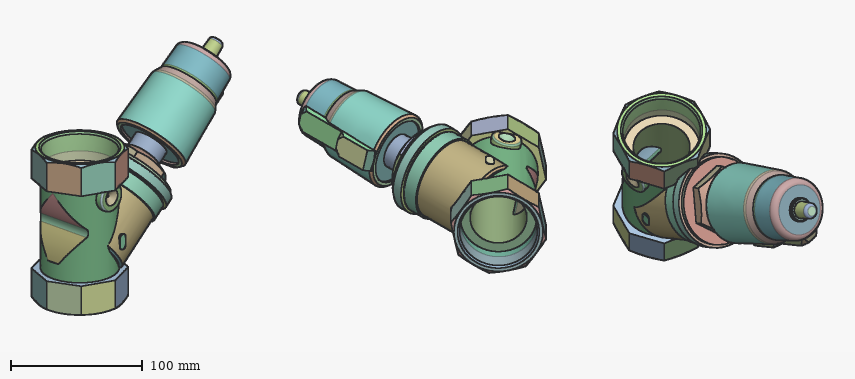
import cadquery as cq
import math


BODY_LENGTH = 124.0
PIPE_RADIUS = 30.0
BORE_RADIUS = 43.0 / 2
END_HEIGHT = 25.0
OCTAGON_CORNERS = 73.6
OCTAGON_CHAMFER_RADIUS = 33.8
OCTAGON_CHAMFER_ANGLE = 30.0

SOCKET_MOUTH_RADIUS = 31.0
SOCKET_THREAD_RADIUS = 59.0 / 2
SOCKET_RADIUS = 57.87 / 2
SOCKET_LEAD_IN = 1.5
SOCKET_THREAD_DEPTH = 15.0
SOCKET_DEPTH = 23.0

NOTCH_TOP = (-PIPE_RADIUS, 33.6)
NOTCH_UPPER_MID = (-27.4, 20.1)
NOTCH_UPPER_END = (-17.9, 6.6)
NOTCH_DEEPEST = (-16.9, 3.3)
NOTCH_LOWER_END = (-17.9, 0.0)
NOTCH_LOWER_MID = (-26.1, -11.9)
NOTCH_BOTTOM = (-29.5, -23.7)
NOTCH_WALL = 2.4

BOSS_Z = 30.1
BOSS_RADIUS = 11.6
BOSS_REACH = 33.2
BOSS_ROUNDING = 1.3
DIMPLE_RADIUS = 6.5
DIMPLE_TIP_RADIUS = 0.7
DIMPLE_DEPTH = 4.0
PAD_Y = 13.0
PAD_Z = -10.5
PAD_WIDTH = 6.5
PAD_HEIGHT = 12.7
PAD_REACH = 32.7

AXIS_TILT = 40.0
AXIS_START_Z = -25.1

BRANCH_START = 7.0
BRANCH_CHAMFER = 1.8
BRANCH_RADIUS = 32.4
COLLAR_START = 53.7
COLLAR_RADIUS = 33.9
GROOVE_START = 66.0
GROOVE_RADIUS = 33.0
FLANGE_START = 66.9
FLANGE_RADIUS = 36.0
RIM_START = 74.7
RIM_RADIUS = 67.0 / 2
RIM_END = 77.6

NUT_ACROSS_FLATS = 47.0
NUT_CONE_START = 84.3
NUT_END = 91.5
NECK_RADIUS = 28.0 / 2

HOUSING_START = 101.4
HOUSING_CHAMFER = 2.0
HOUSING_START_RADIUS = 30.75
HOUSING_END_RADIUS = 28.5
HOUSING_END = 149.7
RECESS_RADIUS = 51.7 / 2
RECESS_DEPTH = 2.0
SHOULDER_START = 151.7
SHOULDER_START_RADIUS = 27.8
SHOULDER_END = 157.2
CAP_START = 159.1
CAP_START_RADIUS = 24.9
CAP_END_RADIUS = 24.1
CAP_END = 183.1
CAP_ROUNDING = 5.0

PIN_COLLAR_RADIUS = 18.2 / 2
PIN_COLLAR_END = 186.0
PIN_COLLAR_CHAMFER = 0.7
PIN_START_RADIUS = 6.6
PIN_END_RADIUS = 6.0
PIN_TIP_RADIUS = 3.7
PIN_ROUNDING = PIN_END_RADIUS - PIN_TIP_RADIUS
PIN_TIP_LENGTH = 2.5
PIN_END = 199.5

STRIP_HALF_WIDTH = 8.7
STRIP_BASE = 21.0
STRIP_HEIGHT = 29.2
STRIP_START = HOUSING_START + HOUSING_CHAMFER
STRIP_BASE_END = 179.6
STRIP_TOP_END = 176.0
PORT_BASE = 29.0
PORT_HEIGHT = 34.2
PORT_BASE_START = HOUSING_START
PORT_BASE_END = 136.3
PORT_TOP_START = 105.9
PORT_TOP_END = 134.5
BASE_CORNER = 0.8
TOP_CORNER = 4.5

FULL_WIDTH = 2 * OCTAGON_CORNERS


def revolve_profile(points):
    """Solid of revolution about Z from (radius, height) points that start and end on the axis."""
    return cq.Workplane("XZ").polyline(points).close().revolve(360, (0, 0, 0), (0, 1, 0))


def both_ends(upper):
    """An upper-end feature together with its mirror image at the lower end."""
    return upper.union(upper.mirror("XY"))


def both_sides(left):
    """A feature on the -X side together with its mirror image on the +X side."""
    return left.union(left.mirror("YZ"))


def octagon_end():
    """Octagonal wrench end at the top of the pipe, with its outer corners chamfered."""
    top = BODY_LENGTH / 2
    bottom = top - END_HEIGHT
    corner = OCTAGON_CORNERS / 2
    drop = (corner - OCTAGON_CHAMFER_RADIUS) * math.tan(math.radians(OCTAGON_CHAMFER_ANGLE))
    prism = cq.Workplane("XY", origin=(0, 0, bottom)).polygon(8, OCTAGON_CORNERS).extrude(END_HEIGHT)
    envelope = revolve_profile([
        (0, bottom),
        (corner, bottom),
        (corner, top - drop),
        (OCTAGON_CHAMFER_RADIUS, top),
        (0, top),
    ])
    return prism.intersect(envelope)


def socket():
    """Cutter for the tapered thread socket in the top end."""
    top = BODY_LENGTH / 2
    return revolve_profile([
        (0, top),
        (SOCKET_MOUTH_RADIUS, top),
        (SOCKET_THREAD_RADIUS, top - SOCKET_LEAD_IN),
        (SOCKET_RADIUS, top - SOCKET_THREAD_DEPTH),
        (SOCKET_RADIUS, top - SOCKET_DEPTH),
        (0, top - SOCKET_DEPTH),
    ])


def notch():
    """Waist notch cutter, a curved V that runs straight along X."""
    outside = -OCTAGON_CORNERS
    return (
        cq.Workplane("YZ", origin=(-FULL_WIDTH / 2, 0, 0))
        .moveTo(outside, NOTCH_TOP[1])
        .lineTo(*NOTCH_TOP)
        .threePointArc(NOTCH_UPPER_MID, NOTCH_UPPER_END)
        .threePointArc(NOTCH_DEEPEST, NOTCH_LOWER_END)
        .threePointArc(NOTCH_LOWER_MID, NOTCH_BOTTOM)
        .lineTo(outside, NOTCH_BOTTOM[1])
        .close()
        .extrude(FULL_WIDTH)
    )


def bore():
    """Through bore; the notch wall stands in it as a ridge."""
    cylinder = cq.Workplane("XY").circle(BORE_RADIUS).extrude(BODY_LENGTH / 2, both=True)
    return cylinder.cut(notch().translate((0, NOTCH_WALL, 0)))


def side_boss():
    """Round boss on the -X side of the pipe with a rounded outer edge."""
    return (
        cq.Workplane("YZ", origin=(0, 0, BOSS_Z))
        .circle(BOSS_RADIUS)
        .extrude(-BOSS_REACH)
        .faces("<X")
        .edges()
        .fillet(BOSS_ROUNDING)
    )


def side_dimple():
    """Conical dimple in the face of the -X boss."""
    cone = cq.Solid.makeCone(
        DIMPLE_RADIUS, DIMPLE_TIP_RADIUS, DIMPLE_DEPTH, cq.Vector(-BOSS_REACH, 0, BOSS_Z), cq.Vector(1, 0, 0)
    )
    return cq.Workplane(obj=cone)


def side_pad():
    """Raised oblong pad on the -X side of the branch."""
    return (
        cq.Workplane("YZ", origin=(0, PAD_Y, PAD_Z))
        .slot2D(PAD_HEIGHT, PAD_WIDTH, 90)
        .extrude(-PAD_REACH)
    )


def branch():
    """Branch, collar, flange and rim, standing along Z."""
    return revolve_profile([
        (0, BRANCH_START),
        (BRANCH_RADIUS - BRANCH_CHAMFER, BRANCH_START),
        (BRANCH_RADIUS, BRANCH_START + BRANCH_CHAMFER),
        (BRANCH_RADIUS, COLLAR_START),
        (COLLAR_RADIUS, COLLAR_START),
        (COLLAR_RADIUS, GROOVE_START),
        (GROOVE_RADIUS, GROOVE_START),
        (GROOVE_RADIUS, FLANGE_START),
        (FLANGE_RADIUS, FLANGE_START),
        (FLANGE_RADIUS, RIM_START),
        (RIM_RADIUS, RIM_START),
        (RIM_RADIUS, RIM_END),
        (0, RIM_END),
    ])


def nut():
    """Hexagonal nut with a conical top that runs down to the neck."""
    corner = NUT_ACROSS_FLATS / 2 / math.cos(math.radians(30))
    prism = cq.Workplane("XY", origin=(0, 0, RIM_END)).polygon(6, 2 * corner).extrude(NUT_END - RIM_END)
    envelope = revolve_profile([
        (0, RIM_END),
        (corner, RIM_END),
        (corner, NUT_CONE_START),
        (NECK_RADIUS, NUT_END),
        (0, NUT_END),
    ])
    return prism.intersect(envelope)


def neck():
    """Round neck from the nut to the floor of the actuator recess."""
    length = HOUSING_START + RECESS_DEPTH - NUT_END
    return cq.Workplane("XY", origin=(0, 0, NUT_END)).circle(NECK_RADIUS).extrude(length)


def actuator():
    """Tapered housing, shoulder, rounded cap and indicator pin, standing along Z."""
    slope = math.sqrt(0.5)
    cap_arc_mid = (
        CAP_END_RADIUS - CAP_ROUNDING * (1 - slope),
        CAP_END - CAP_ROUNDING * (1 - slope),
    )
    pin_arc_mid = (
        PIN_END_RADIUS - PIN_ROUNDING * (1 - slope),
        PIN_END - PIN_TIP_LENGTH * (1 - slope),
    )
    return (
        cq.Workplane("XZ")
        .moveTo(0, HOUSING_START + RECESS_DEPTH)
        .lineTo(RECESS_RADIUS, HOUSING_START + RECESS_DEPTH)
        .lineTo(RECESS_RADIUS, HOUSING_START)
        .lineTo(HOUSING_START_RADIUS - HOUSING_CHAMFER, HOUSING_START)
        .lineTo(HOUSING_START_RADIUS, HOUSING_START + HOUSING_CHAMFER)
        .lineTo(HOUSING_END_RADIUS, HOUSING_END)
        .lineTo(SHOULDER_START_RADIUS, SHOULDER_START)
        .lineTo(CAP_START_RADIUS, SHOULDER_END)
        .lineTo(CAP_START_RADIUS, CAP_START)
        .lineTo(CAP_END_RADIUS, CAP_END - CAP_ROUNDING)
        .threePointArc(cap_arc_mid, (CAP_END_RADIUS - CAP_ROUNDING, CAP_END))
        .lineTo(PIN_COLLAR_RADIUS, CAP_END)
        .lineTo(PIN_COLLAR_RADIUS, PIN_COLLAR_END - PIN_COLLAR_CHAMFER)
        .lineTo(PIN_COLLAR_RADIUS - PIN_COLLAR_CHAMFER, PIN_COLLAR_END)
        .lineTo(PIN_START_RADIUS, PIN_COLLAR_END)
        .lineTo(PIN_END_RADIUS, PIN_END - PIN_TIP_LENGTH)
        .threePointArc(pin_arc_mid, (PIN_TIP_RADIUS, PIN_END))
        .lineTo(0, PIN_END)
        .close()
        .revolve(360, (0, 0, 0), (0, 1, 0))
    )


def block_outline(start, end, corner):
    """Rectangle from start to end as (x, distance along axis) points, its far corners cut off."""
    side = STRIP_HALF_WIDTH
    return [
        (-side, start),
        (side, start),
        (side, end - corner),
        (side - corner, end),
        (corner - side, end),
        (-side, end - corner),
    ]


def underside_block(base, top, base_span, top_span):
    """Block on the +Y side of the upright actuator; its corner cuts widen from base to top."""
    return (
        cq.Workplane("XZ", origin=(0, base, 0))
        .polyline(block_outline(*base_span, BASE_CORNER))
        .close()
        .workplane(offset=base - top)
        .polyline(block_outline(*top_span, TOP_CORNER))
        .close()
        .loft(ruled=True)
    )


def port_strip():
    """Long strip with a raised port block at its lower end."""
    strip = underside_block(
        STRIP_BASE, STRIP_HEIGHT, (STRIP_START, STRIP_BASE_END), (STRIP_START, STRIP_TOP_END)
    )
    port = underside_block(
        PORT_BASE, PORT_HEIGHT, (PORT_BASE_START, PORT_BASE_END), (PORT_TOP_START, PORT_TOP_END)
    )
    return strip.union(port)


def tilt(upright):
    """Lay a feature that stands along Z onto the inclined axis."""
    return upright.rotate((0, 0, 0), (1, 0, 0), AXIS_TILT - 90).translate((0, 0, AXIS_START_Z))


body = cq.Workplane("XY").circle(PIPE_RADIUS).extrude(BODY_LENGTH / 2, both=True)
body = body.union(both_ends(octagon_end()))
body = body.union(tilt(branch()))
body = body.union(both_sides(side_boss())).union(both_sides(side_pad()))
body = body.cut(notch()).cut(bore())
body = body.cut(both_ends(socket())).cut(both_sides(side_dimple()))

head = nut().union(neck()).union(actuator()).union(port_strip())

result = body.union(tilt(head))